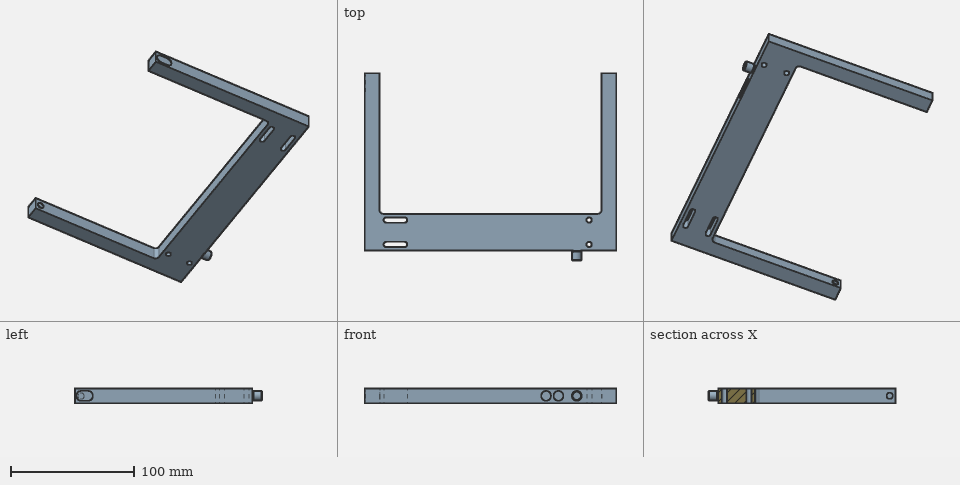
import cadquery as cq

width = 204.0
depth = 144.0
thickness = 12.0
arm_width = 12.0
base_depth = 30.0
inner_corner_radius = 3.0

mount_diameter = 4.0
slot_length = 19.0
slot_x = 24.9
hole_x = 182.0
mount_edge_distance = 5.0
mount_rows = (mount_edge_distance, base_depth - mount_edge_distance)

window_diameter = 8.0
window_positions = (147.0, 157.0)

recess_depth = 0.5

connector_x = 172.0
connector_diameter = 8.0
connector_length = 8.0
neck_diameter = 6.5
neck_length = 1.0
connector_chamfer = 0.6

optic_length = 13.5
optic_height = 8.0
optic_end_gap = 1.2

beam_diameter = 5.0
beam_end_distance = 4.9


def make_frame():
    """U-shaped plate with rounded inner corners."""
    plate = cq.Workplane("XY").box(width, depth, thickness, centered=(False, False, True))
    opening = (
        cq.Workplane("XY")
        .box(width - 2 * arm_width, depth, thickness, centered=(False, False, True))
        .edges("|Z and <Y")
        .fillet(inner_corner_radius)
        .translate((arm_width, base_depth, 0))
    )
    return plate.cut(opening)


def make_mounting_cuts():
    """Two slots on the left and two holes on the right, cut through the base."""
    base = cq.Workplane("XY", origin=(0, 0, -thickness / 2))
    slots = (
        base.pushPoints([(slot_x, y) for y in mount_rows])
        .slot2D(slot_length, mount_diameter)
        .extrude(thickness)
    )
    holes = (
        base.pushPoints([(hole_x, y) for y in mount_rows])
        .circle(mount_diameter / 2)
        .extrude(thickness)
    )
    return slots.union(holes)


def make_indicator_recesses():
    """Shallow round recesses in the front face."""
    return (
        cq.Workplane("XZ")
        .pushPoints([(x, 0) for x in window_positions])
        .circle(window_diameter / 2)
        .extrude(-recess_depth)
    )


def make_optic_recess():
    """Shallow obround recess near the free end of the left arm."""
    centre_y = depth - optic_end_gap - optic_length / 2
    return (
        cq.Workplane("YZ")
        .center(centre_y, 0)
        .slot2D(optic_length, optic_height)
        .extrude(recess_depth)
    )


def make_beam_recesses():
    """Shallow round recesses facing each other across the opening."""
    span = width - 2 * arm_width + 2 * recess_depth
    return (
        cq.Workplane("YZ", origin=(arm_width - recess_depth, 0, 0))
        .center(depth - beam_end_distance, 0)
        .circle(beam_diameter / 2)
        .extrude(span)
    )


def make_connector():
    """Narrow neck followed by a chamfered cylindrical body."""
    neck = cq.Workplane("XZ").center(connector_x, 0).circle(neck_diameter / 2).extrude(neck_length)
    body = (
        cq.Workplane("XZ", origin=(connector_x, -neck_length, 0))
        .circle(connector_diameter / 2)
        .extrude(connector_length - neck_length)
        .faces("<Y")
        .chamfer(connector_chamfer)
    )
    return neck.union(body)


result = (
    make_frame()
    .cut(make_mounting_cuts())
    .cut(make_indicator_recesses())
    .cut(make_optic_recess())
    .cut(make_beam_recesses())
    .union(make_connector())
)